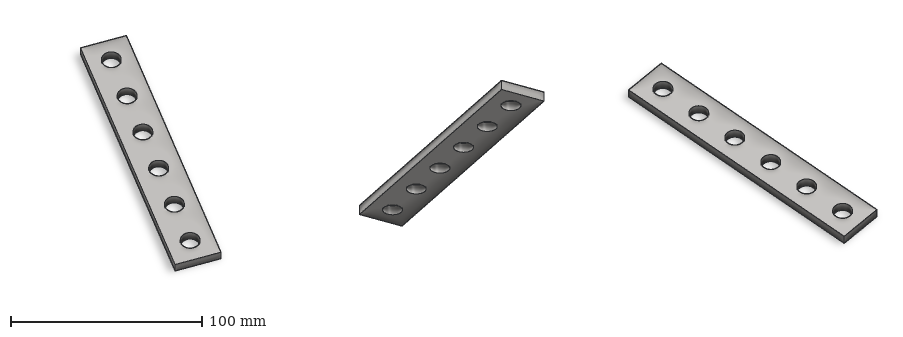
import cadquery as cq

length = 152.4
hole_count = 6
thickness = 5.5
hole_diameter = 10.4

hole_pitch = length / hole_count
width = hole_pitch

bar = cq.Workplane("XY").box(length, width, thickness)

result = (
    bar.faces(">Z")
    .workplane()
    .rarray(hole_pitch, width, hole_count, 1)
    .hole(hole_diameter)
)